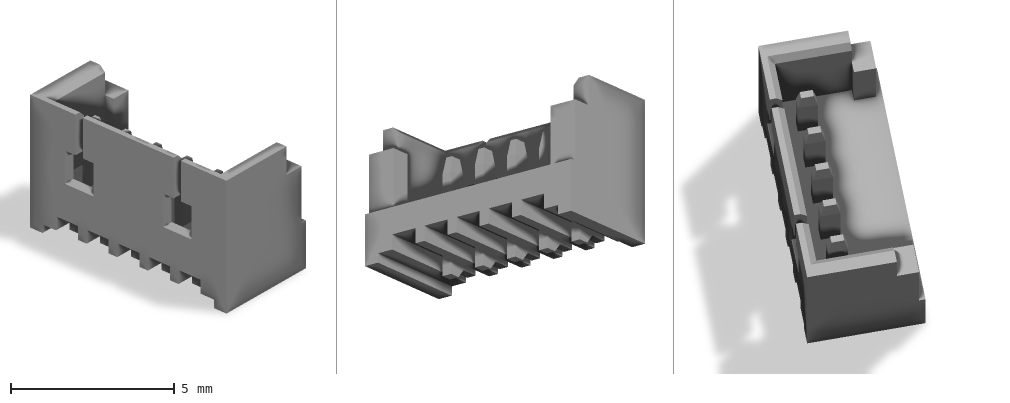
import cadquery as cq

length = 8.0
depth = 3.7
height = 4.7
floor_top = 1.7
side_wall = 0.6
front_wall = 0.4
wall_depth = 2.8
rim_chamfer = 0.2

post_width = 0.95
post_back = 3.5
post_top = 3.7

opening_offset = 2.0
slot_width = 0.3
window_width = 1.16
window_bottom = 2.09
window_top = 3.26

foot_width = 0.5
foot_height = 0.3
notch_width = 0.9
notch_top = 0.8

pin_count = 5
pin_pitch = 1.25
pin_width = 0.33
pin_front = 0.91
pin_back = 1.54
pin_top = 3.9
tip_height = 0.55
tip_inset = 0.06
tip_inset_depth = 0.11
toe_front = 0.3
lower_end_slope_run = 0.26

pin_positions = [(i - (pin_count - 1) / 2) * pin_pitch for i in range(pin_count)]


def block(x_min, x_max, y_min, y_max, z_min, z_max):
    """Box given by its limits along each axis."""
    size = (x_max - x_min, y_max - y_min, z_max - z_min)
    return cq.Workplane("XY").box(*size, centered=False).translate((x_min, y_min, z_min))


def make_shell():
    """Base block with three walls around a cavity that is open at the back."""
    cavity_half = length / 2 - side_wall
    rim_half = cavity_half + rim_chamfer
    base = block(-length / 2, length / 2, 0, depth, 0, floor_top)
    walls = block(-length / 2, length / 2, 0, wall_depth, floor_top, height)
    cavity = block(-cavity_half, cavity_half, front_wall, wall_depth, floor_top, height)

    cavity_depth = 2 * wall_depth
    rim = (
        cq.Workplane("XY", origin=(0, front_wall + cavity_depth / 2, height - rim_chamfer))
        .rect(2 * cavity_half, cavity_depth)
        .workplane(offset=rim_chamfer)
        .rect(2 * rim_half, cavity_depth + 2 * rim_chamfer)
        .loft(ruled=True)
    )
    return base.union(walls.cut(cavity).cut(rim))


def make_post(side):
    """Corner post behind one side wall; side is -1 or 1."""
    x_min, x_max = sorted((side * length / 2, side * (length / 2 - post_width)))
    return block(x_min, x_max, wall_depth, post_back, floor_top, post_top)


def make_opening(x):
    """Window in the front wall with a narrow slot up to the rim."""
    window = block(x - window_width / 2, x + window_width / 2, 0, front_wall, window_bottom, window_top)
    slot = block(x - slot_width / 2, x + slot_width / 2, 0, front_wall, window_top, height)
    return window.union(slot)


def make_pin(x):
    """Contact with a tapered tip, a sloped lower end and a toe reaching towards the front wall."""
    toe_and_stem = (
        cq.Workplane("YZ")
        .moveTo(toe_front, foot_height)
        .lineTo(pin_front, foot_height)
        .lineTo(pin_front + lower_end_slope_run, 0)
        .lineTo(pin_back, 0)
        .lineTo(pin_back, pin_top - tip_height)
        .lineTo(pin_front, pin_top - tip_height)
        .lineTo(pin_front, notch_top)
        .lineTo(toe_front, notch_top)
        .close()
        .extrude(pin_width / 2, both=True)
    )
    stem_depth = pin_back - pin_front
    tip = (
        cq.Workplane("XY", origin=(0, (pin_front + pin_back) / 2, pin_top - tip_height))
        .rect(pin_width, stem_depth)
        .workplane(offset=tip_height)
        .rect(pin_width - 2 * tip_inset, stem_depth - 2 * tip_inset_depth)
        .loft(ruled=True)
    )
    return toe_and_stem.union(tip).translate((x, 0, 0))


result = make_shell()

for side in (-1, 1):
    result = result.union(make_post(side))
    result = result.cut(make_opening(side * opening_offset))

foot_inside = length / 2 - foot_width
result = result.cut(block(-foot_inside, foot_inside, 0, depth, 0, foot_height))
for x in pin_positions:
    result = result.cut(block(x - notch_width / 2, x + notch_width / 2, 0, depth, 0, notch_top))
for x in pin_positions:
    result = result.union(make_pin(x))